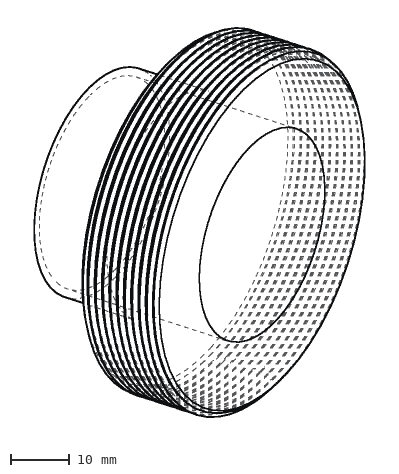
import cadquery as cq
import math

length = 33.0
crest_radius = 32.6

tube_radius = 20.5
bore_radius = 19.0
tube_end = 14.4
fillet_radius = 1.0

cone_angle = math.radians(10)
rim_corner_radius = 31.1
chamfer_length = 1.3

pitch = 1.5
thread_depth = 0.9
crest_flat = pitch / 8
flank_slope = math.tan(math.radians(30))
thread_start = 16.05
thread_turns = 12
groove_overrun = 0.05


def make_body():
    """Tube and flange, turned as one profile of (radius, height) about Z."""
    fillet_centre = (tube_radius + fillet_radius, tube_end)

    def on_fillet(turn):
        return (
            fillet_centre[0] - fillet_radius * math.cos(turn),
            fillet_centre[1] + fillet_radius * math.sin(turn),
        )

    fillet_turn = math.pi / 2 - cone_angle
    fillet_end = on_fillet(fillet_turn)
    cone_end = fillet_end[1] + (rim_corner_radius - fillet_end[0]) * math.tan(cone_angle)

    return (
        cq.Workplane("XZ")
        .moveTo(bore_radius, 0)
        .lineTo(tube_radius, 0)
        .lineTo(tube_radius, tube_end)
        .threePointArc(on_fillet(fillet_turn / 2), fillet_end)
        .lineTo(rim_corner_radius, cone_end)
        .lineTo(crest_radius, cone_end + chamfer_length)
        .lineTo(crest_radius, length - chamfer_length)
        .lineTo(rim_corner_radius, length)
        .lineTo(bore_radius, length)
        .close()
        .revolve(360, (0, 0, 0), (0, 1, 0))
    )


def make_thread_groove():
    """V groove with a flat root, swept along the helix and open at both ends."""
    root_radius = crest_radius - thread_depth
    outer_radius = crest_radius + groove_overrun
    outer_half_width = (pitch - crest_flat) / 2 + groove_overrun * flank_slope
    root_half_width = (pitch - crest_flat) / 2 - thread_depth * flank_slope
    helix = cq.Wire.makeHelix(pitch, thread_turns * pitch, root_radius)
    return (
        cq.Workplane("XZ")
        .moveTo(root_radius, -root_half_width)
        .lineTo(outer_radius, -outer_half_width)
        .lineTo(outer_radius, outer_half_width)
        .lineTo(root_radius, root_half_width)
        .close()
        .sweep(cq.Workplane(obj=helix), isFrenet=True)
        .translate((0, 0, thread_start))
    )


result = make_body().cut(make_thread_groove()).rotate((0, 0, 0), (0, 1, 0), 90)